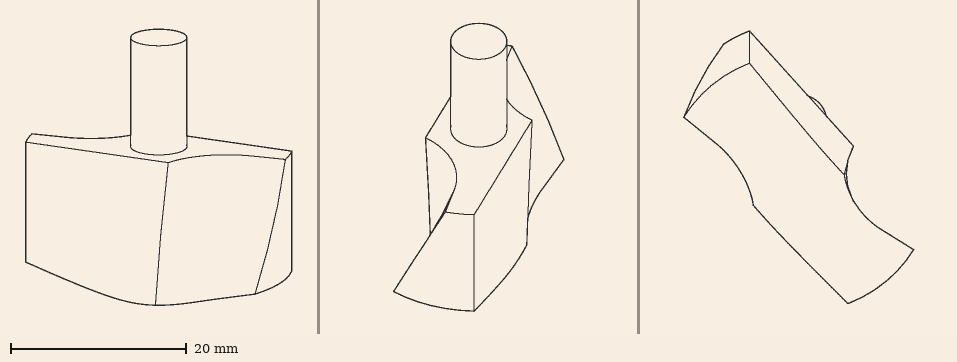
import cadquery as cq

total_height = 31.9
body_diameter = 30.5
body_thickness = 10.18
shank_diameter = 6.4
shank_length = 13.0
tip_height = 4.55

root_radius = 8.77
root_start = 11.15
cutting_face_angle = 7.0
twist_rate = 1.755
overcut = 0.65

body_radius = body_diameter / 2
body_height = total_height - shank_length


def make_body():
    """Pointed round body, flattened to a blade."""
    pointed_round = (
        cq.Workplane("XZ")
        .moveTo(0, 0)
        .lineTo(body_radius, tip_height)
        .lineTo(body_radius, body_height)
        .lineTo(0, body_height)
        .close()
        .revolve(360, (0, 0), (0, 1))
    )
    blade = cq.Workplane("XY").box(
        body_diameter, body_thickness, body_height, centered=(True, True, False)
    )
    return pointed_round.intersect(blade)


def make_flute_cutter():
    """Twisted cutter for the flute on the +X, -Y side."""
    outer_reach = body_diameter
    cutter_height = body_height + 2 * overcut
    bottom_angle = cutting_face_angle - twist_rate * (body_height + overcut)
    return (
        cq.Workplane("XY")
        .moveTo(outer_reach, 0)
        .lineTo(root_start, 0)
        .radiusArc((root_start - root_radius, -root_radius), -root_radius)
        .lineTo(root_start - root_radius, -outer_reach)
        .lineTo(outer_reach, -outer_reach)
        .close()
        .twistExtrude(cutter_height, twist_rate * cutter_height)
        .rotate((0, 0, 0), (0, 0, 1), bottom_angle)
        .translate((0, 0, -overcut))
    )


def make_shank():
    return (
        cq.Workplane("XY", origin=(0, 0, body_height))
        .circle(shank_diameter / 2)
        .extrude(shank_length)
    )


body = make_body()
flute_cutter = make_flute_cutter()
for side_angle in (0, 180):
    body = body.cut(flute_cutter.rotate((0, 0, 0), (0, 0, 1), side_angle))

result = body.union(make_shank())